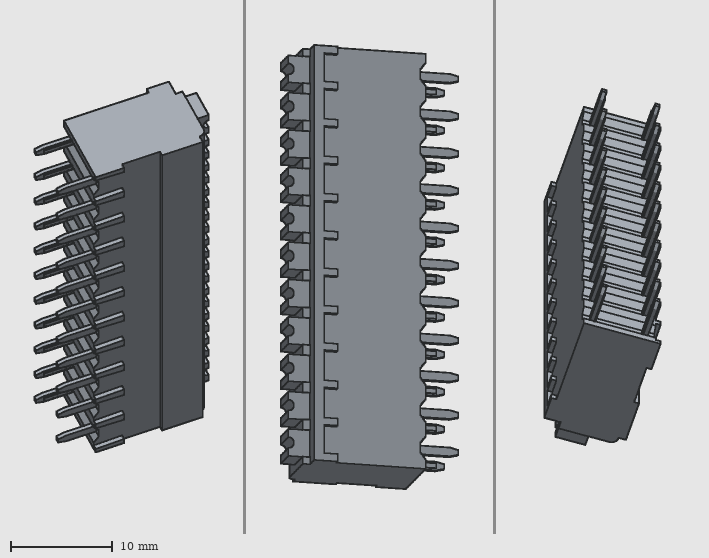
import cadquery as cq

pole_count = 11
pitch = 3.8
height = 42.3
first_pole_z = (height - (pole_count - 1) * pitch) / 2
pole_centres = [first_pole_z + i * pitch for i in range(pole_count)]

overall_width = 8.4
rail_depth = 0.5
housing_width = overall_width - rail_depth
shoulder_y = 11.45
plateau_y = 12.2
plateau_left = 1.2
plateau_right = 7.15
plateau_radius = plateau_y - shoulder_y

rail_bottom = 9.1
rail_band = 1.0
rail_tooth_height = 0.7
rail_end_height = 0.75

recess_depth = 0.5
recess_bottom = 3.05
recess_top = 7.1
lip_gap_mouth = 3.17
lip_gap_inner = 2.95

groove_depth = 0.55
groove_mouth = 2.35
groove_floor = 0.95

button_left = 1.3
button_width = 3.1
button_height = 2.75
button_top = 13.6
button_notch_radius = 0.55

pin_end = -3.5
pin_thickness = 0.45
pin_height = 0.9
pin_tip_height = 0.45
pin_taper = 0.85
pin_margin = 0.75
pin_span = 5.95
pin_rib_thickness = 0.13
pin_rib_height = 0.5


def block(x_range, y_range, z_range):
    """Box between the given limits."""
    limits = (x_range, y_range, z_range)
    sizes = [high - low for low, high in limits]
    corner = tuple(low for low, high in limits)
    return cq.Workplane("XY").box(*sizes, centered=False).translate(corner)


def around(centre, size):
    """Limits of a length placed evenly about a centre."""
    return (centre - size / 2, centre + size / 2)


def side_profile(points, left, width):
    """Outline of (Y, Z) points extruded along +X from the plane X = left."""
    return cq.Workplane("YZ").workplane(offset=left).polyline(points).close().extrude(width)


def make_housing():
    recess_x = housing_width - recess_depth
    return (
        cq.Workplane("XY")
        .moveTo(0, 0)
        .lineTo(housing_width, 0)
        .lineTo(housing_width, recess_bottom)
        .lineTo(recess_x, recess_bottom)
        .lineTo(recess_x, recess_top)
        .lineTo(housing_width, recess_top)
        .lineTo(housing_width, shoulder_y)
        .lineTo(plateau_right, shoulder_y)
        .radiusArc((plateau_right - plateau_radius, plateau_y), -plateau_radius)
        .lineTo(plateau_left, plateau_y)
        .lineTo(plateau_left, shoulder_y)
        .lineTo(-rail_depth, shoulder_y)
        .lineTo(-rail_depth, rail_bottom)
        .lineTo(0, rail_bottom)
        .close()
        .extrude(height)
    )


def rail_relief():
    """Space cut from the rail between its two end teeth, leaving the band."""
    return block(
        (-rail_depth, 0),
        (rail_bottom, shoulder_y - rail_band),
        (rail_end_height, height - rail_end_height),
    )


def rail_tooth(z):
    return block((-rail_depth, 0), (rail_bottom, shoulder_y), around(z, rail_tooth_height))


def lip_gap(z):
    """Gap through the recess lip that widens towards the pin side."""
    outline = [
        (0, z - lip_gap_mouth / 2),
        (recess_bottom, z - lip_gap_inner / 2),
        (recess_bottom, z + lip_gap_inner / 2),
        (0, z + lip_gap_mouth / 2),
    ]
    return side_profile(outline, housing_width - recess_depth, recess_depth)


def groove(z):
    outline = [
        (0, z - groove_mouth / 2),
        (groove_depth, z - groove_floor / 2),
        (groove_depth, z + groove_floor / 2),
        (0, z + groove_mouth / 2),
    ]
    return side_profile(outline, 0, housing_width)


def button_relief(z):
    """Opening in the plateau edge that bares the left side of a button."""
    return block((plateau_left, button_left), (shoulder_y, plateau_y), around(z, button_height))


def button(z):
    body = block(
        (button_left, button_left + button_width),
        (shoulder_y, button_top),
        around(z, button_height),
    )
    notch = (
        cq.Workplane("YZ")
        .workplane(offset=button_left)
        .center(button_top, z)
        .circle(button_notch_radius)
        .extrude(button_width)
    )
    return body.cut(notch)


def pin(outer_x, inward, z):
    """Tapered flat pin with a rib on its inner face; inward is +1 or -1 along X."""
    taper_start = pin_end + pin_taper
    outline = [
        (groove_depth, z - pin_height / 2),
        (taper_start, z - pin_height / 2),
        (pin_end, z - pin_tip_height / 2),
        (pin_end, z + pin_tip_height / 2),
        (taper_start, z + pin_height / 2),
        (groove_depth, z + pin_height / 2),
    ]
    inner_x = outer_x + inward * pin_thickness
    rib_x = inner_x + inward * pin_rib_thickness
    blade = side_profile(outline, min(outer_x, inner_x), pin_thickness)
    rib = block(sorted((inner_x, rib_x)), (taper_start, groove_depth), around(z, pin_rib_height))
    return blade.union(rib)


result = make_housing().cut(rail_relief())
for z in pole_centres:
    for cutter in (lip_gap(z), groove(z), button_relief(z)):
        result = result.cut(cutter)
for z in pole_centres[:-1]:
    result = result.union(rail_tooth(z + pitch / 2))
for z in pole_centres:
    result = result.union(button(z))
    result = result.union(pin(pin_margin, 1, z))
    result = result.union(pin(pin_margin + pin_span, -1, z))